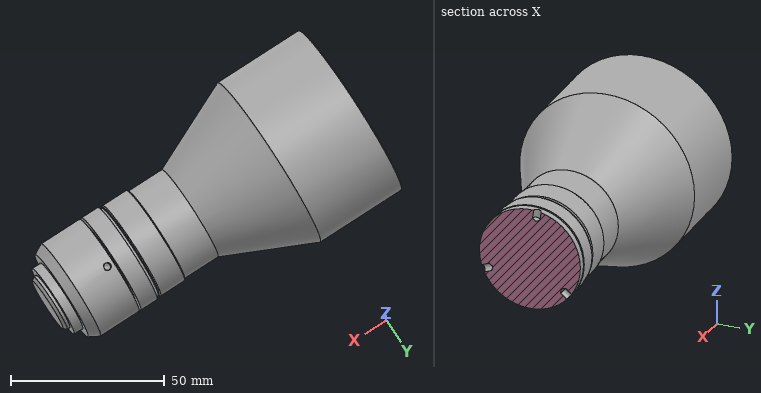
import cadquery as cq
import math

front_bevel_end = 0.5
head_end = 32.0
cone_start = 32.5
cone_end = 62.2
neck_start = 62.8
focus_ring_start = 75.9
focus_ring_end = 85.8
lock_ring_start = 86.2
lock_bevel_end = 87.1
slit_start = 93.5
slit_end = 94.2
rear_bevel_start = 109.2
body_end = 112.8
flange_end = 116.1
tip_bevel_start = 117.1
overall_length = 118.2

head_diameter = 62.0
head_radius = head_diameter / 2
front_face_radius = 30.5
cone_large_radius = 30.7
cone_small_radius = 17.3
neck_radius = 17.0
focus_ring_radius = 17.6
body_radius = 18.0
slit_floor_radius = 14.5
body_end_radius = 16.0
flange_radius = 12.8
tip_radius = 10.2
tip_end_radius = 9.2

focus_ring_bevel = 0.4

screw_hole_station = 96.6
screw_hole_diameter = 2.5
screw_hole_radius = screw_hole_diameter / 2
screw_hole_depth = 3.0
screw_hole_count = 3
first_screw_angle = 81.4
drill_point_angle = 118.0


def lens_body():
    """Stepped barrel: half profile (x, radius) revolved about the X axis."""
    profile = (
        cq.Workplane("XY")
        .moveTo(0, 0)
        .lineTo(0, front_face_radius)
        .lineTo(front_bevel_end, head_radius)
        .lineTo(head_end, head_radius)
        .lineTo(cone_start, cone_large_radius)
        .lineTo(cone_end, cone_small_radius)
        .lineTo(neck_start, neck_radius)
        .lineTo(focus_ring_start, neck_radius)
        .lineTo(focus_ring_start + focus_ring_bevel, focus_ring_radius)
        .lineTo(focus_ring_end - focus_ring_bevel, focus_ring_radius)
        .lineTo(focus_ring_end, neck_radius)
        .lineTo(lock_ring_start, neck_radius)
        .lineTo(lock_bevel_end, body_radius)
        .lineTo(slit_start, body_radius)
        .lineTo(slit_start, slit_floor_radius)
        .lineTo(slit_end, slit_floor_radius)
        .lineTo(slit_end, body_radius)
        .lineTo(rear_bevel_start, body_radius)
        .lineTo(body_end, body_end_radius)
        .lineTo(body_end, flange_radius)
        .lineTo(flange_end, flange_radius)
        .lineTo(flange_end, tip_radius)
        .lineTo(tip_bevel_start, tip_radius)
        .lineTo(overall_length, tip_end_radius)
        .lineTo(overall_length, 0)
        .close()
    )
    return profile.revolve(360, (0, 0, 0), (1, 0, 0))


def screw_hole(angle):
    """Cutter for one radial hole with a drill-point bottom, drilled inward at the given angle."""
    floor_radius = body_radius - screw_hole_depth
    point_length = screw_hole_radius / math.tan(math.radians(drill_point_angle / 2))
    cutter_top = body_radius + screw_hole_radius
    half_section = (
        cq.Workplane("XY")
        .moveTo(0, floor_radius - point_length)
        .lineTo(screw_hole_radius, floor_radius)
        .lineTo(screw_hole_radius, cutter_top)
        .lineTo(0, cutter_top)
        .close()
    )
    cutter = half_section.revolve(360, (0, 0, 0), (0, 1, 0))
    return cutter.translate((screw_hole_station, 0, 0)).rotate((0, 0, 0), (1, 0, 0), angle)


result = lens_body()
for index in range(screw_hole_count):
    result = result.cut(screw_hole(first_screw_angle + index * 360 / screw_hole_count))